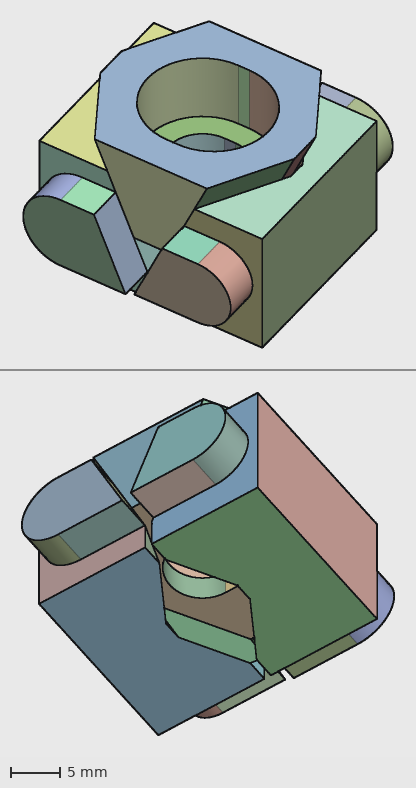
import cadquery as cq
import math

total_length = 29.3
jaw_pair_width = 27.0
total_height = 18.52
jaw_height = 14.95
jaw_length = 21.2
jaw_gap = 0.8

wedge_depth = 11.15
wedge_end_half_width = 6.8
wedge_middle_half_width = 11.78
slope = math.tan(math.radians(23))
flank_run = math.tan(math.radians(30))

slot_travel = 1.35
screw_hole_radius = 4.05
counterbore_radius = 6.65
counterbore_depth = 8.0

boss_center_x = 8.32
boss_center_z = 8.0
large_boss_radius = 4.5
small_boss_radius = 4.0
pocket_clearance = 0.5

half_gap = jaw_gap / 2
half_jaw_length = jaw_length / 2
half_total_length = total_length / 2


def side_flat_half_length(middle_half_width):
    """Y half-length of the side flat left between the two flanks."""
    return half_jaw_length - (middle_half_width - wedge_end_half_width) / flank_run


def tapered_prism(top_points, bottom_points, depth):
    """Ruled solid from an outline at the top level to another one below it."""
    return (
        cq.Workplane("XY", origin=(0, 0, total_height))
        .polyline(top_points).close()
        .workplane(offset=-depth)
        .polyline(bottom_points).close()
        .loft(ruled=True, combine=True)
    )


def wedge_outline(depth):
    """Octagon of the wedge at a given depth below the top."""
    inset = slope * depth
    end_x = wedge_end_half_width - inset
    middle_x = wedge_middle_half_width - inset
    flat_y = side_flat_half_length(wedge_middle_half_width)
    return [
        (-end_x, -half_jaw_length),
        (end_x, -half_jaw_length),
        (middle_x, -flat_y),
        (middle_x, flat_y),
        (end_x, half_jaw_length),
        (-end_x, half_jaw_length),
        (-middle_x, flat_y),
        (-middle_x, -flat_y),
    ]


def slotted_hole(radius, depth):
    """Cutter elongated along X, reaching down from the top."""
    return (
        cq.Workplane("XY", origin=(0, 0, total_height))
        .slot2D(2 * radius + slot_travel, 2 * radius)
        .extrude(-depth)
    )


def make_wedge():
    body = tapered_prism(wedge_outline(0), wedge_outline(wedge_depth), wedge_depth)
    body = body.cut(slotted_hole(screw_hole_radius, wedge_depth))
    return body.cut(slotted_hole(counterbore_radius, counterbore_depth))


def pocket_outline(depth):
    """Outline of the space beside the -X jaw, running past both boss ends."""
    shift = slope * depth
    end_x = shift - wedge_end_half_width
    middle_x = shift - wedge_middle_half_width - pocket_clearance
    open_x = shift + jaw_pair_width / 2
    flat_y = side_flat_half_length(wedge_middle_half_width + pocket_clearance)
    return [
        (open_x, -half_total_length),
        (open_x, half_total_length),
        (end_x, half_total_length),
        (end_x, half_jaw_length),
        (middle_x, flat_y),
        (middle_x, -flat_y),
        (end_x, -half_jaw_length),
        (end_x, -half_total_length),
    ]


def make_boss(radius, start_y, end_y):
    """Bar along Y, round on its -X side and running square to the gap on the other."""
    bottom_z = boss_center_z - radius
    top_z = boss_center_z + radius
    return (
        cq.Workplane("XZ", origin=(0, start_y, 0))
        .moveTo(-half_gap, bottom_z)
        .lineTo(-boss_center_x, bottom_z)
        .threePointArc((-boss_center_x - radius, boss_center_z), (-boss_center_x, top_z))
        .lineTo(-half_gap, top_z)
        .close()
        .extrude(start_y - end_y)
    )


def make_jaw(turn):
    """Jaw on the -X side, turned about Z into its place."""
    body = cq.Workplane("XY").box(
        jaw_pair_width / 2 - half_gap, jaw_length, jaw_height, centered=(False, True, False)
    ).translate((-jaw_pair_width / 2, 0, 0))
    body = body.union(make_boss(large_boss_radius, -half_total_length, -half_jaw_length))
    body = body.union(make_boss(small_boss_radius, half_jaw_length, half_total_length))
    pocket = tapered_prism(pocket_outline(0), pocket_outline(total_height), total_height)
    return body.cut(pocket).rotate((0, 0, 0), (0, 0, 1), turn)


wedge = make_wedge()
jaws = [make_jaw(turn) for turn in (0, 180)]

result = cq.Compound.makeCompound([wedge.val(), *[jaw.val() for jaw in jaws]])